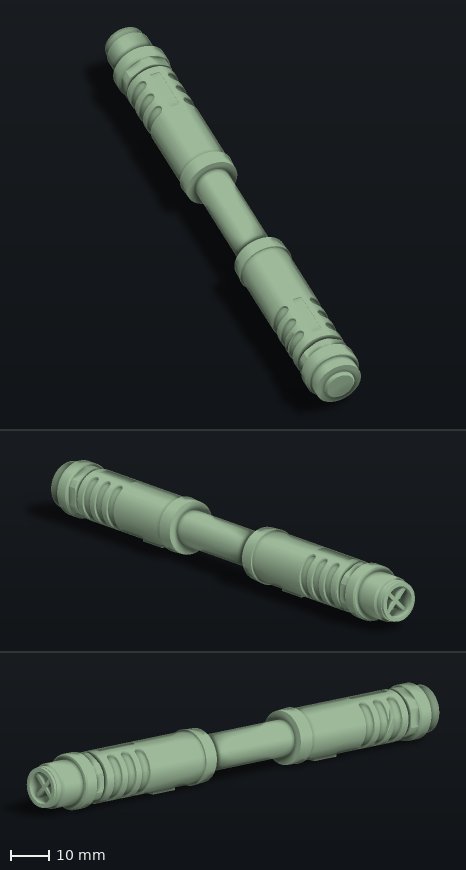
import cadquery as cq
import math

total_length = 137.0

cable_dia = 9.7
grip_dia = 14.0
grip_start = 17.4
grip_end = 56.0
grip_mirror_x = 71.0
grip_lead_in = 0.5
grip_lead_in_dia = 13.7
collar_length = 4.0
collar_dia = 15.0
collar_end_dia = 14.4

groove_floor_dia = 12.7
groove_width = 3.0
groove_pitch = 5.0
groove_count = 3
groove_first_x = 21.2
groove_inner_y = 3.2

pocket_start = groove_first_x - groove_width / 2
pocket_length = (groove_count - 1) * groove_pitch + groove_width
pocket_width = 2.7
pocket_depth = 0.3
pocket_corner = 0.7
pad_start = 38.4
pad_length = 7.8
pad_width = 3.5

knurl_dia = 15.0
knurl_chamfer = 0.4
hex_flats = 13.0
hex_round_dia = 14.0
hex_chamfer = 0.3
neck_dia = 9.3
neck_shoulder_dia = 9.7
neck_shoulder_length = 0.4

plug_nose_dia = 10.5
plug_nose_length = 0.8
plug_land_dia = 11.0
plug_land_end = 2.5
plug_thread_start = 3.0
plug_thread_dia = 12.0
plug_knurl_start = 9.6
plug_knurl_end = 13.5
plug_hex_end = 16.5
plug_bore_dia = 8.4
plug_bore_depth = 5.5

contact_count = 4
contact_circle_radius = 2.5
contact_dia = 1.5
contact_tip_x = 2.7
contact_base_dia = 2.3
contact_base_height = 0.7
rib_thickness = 1.0
rib_front_x = 1.2
rib_angle = 45

socket_hex_start = 125.6
socket_knurl_start = 128.4
socket_knurl_end = 132.5
socket_sleeve_end = 135.9
socket_sleeve_dia = 12.7
socket_insert_dia = 8.4
socket_insert_chamfer = 0.4


def rod(dia, start, end):
    """Solid round bar along X."""
    return cq.Workplane("YZ", origin=(start, 0, 0)).circle(dia / 2).extrude(end - start)


def cone(start_dia, end_dia, start, end):
    """Solid cone frustum along X."""
    profile = [(start, 0), (start, start_dia / 2), (end, end_dia / 2), (end, 0)]
    return cq.Workplane("XY").polyline(profile).close().revolve(360, (0, 0, 0), (1, 0, 0))


def block(length, width, bottom, top, start):
    """Box centred on the XZ plane, given by its start in X and its Z limits."""
    base = cq.Workplane("XY", origin=(start + length / 2, 0, bottom))
    return base.rect(length, width).extrude(top - bottom)


def finger_groove(x):
    """Pair of groove cutters, one on each side, with rounded ends towards the XZ plane."""
    start = x - groove_width
    end = x + groove_width
    ring = rod(collar_dia, start, end).cut(rod(groove_floor_dia, start, end))
    slot_length = grip_dia
    slot_center_y = groove_inner_y + slot_length / 2
    slots = (
        cq.Workplane("XY")
        .pushPoints([(x, slot_center_y), (x, -slot_center_y)])
        .slot2D(slot_length, groove_width, 90)
        .extrude(grip_dia, both=True)
    )
    return ring.intersect(slots)


def make_grip():
    """Left grip: tapered lead-in, barrel, collar, grooves, pocket and label pad."""
    barrel_start = grip_start + grip_lead_in
    collar_start = grip_end - collar_length
    grip = cone(grip_lead_in_dia, grip_dia, grip_start, barrel_start)
    grip = grip.union(rod(grip_dia, barrel_start, grip_end))
    grip = grip.union(cone(collar_dia, collar_end_dia, collar_start, grip_end))
    for i in range(groove_count):
        grip = grip.cut(finger_groove(groove_first_x + i * groove_pitch))
    pocket = block(pocket_length, pocket_width, grip_dia / 2 - pocket_depth, collar_dia / 2, pocket_start)
    grip = grip.cut(pocket.edges("|Z and >X").fillet(pocket_corner))
    return grip.union(block(pad_length, pad_width, -collar_dia / 2, 0, pad_start))


def hex_drive(start, end, chamfered_face):
    """Hexagon with rounded corners, flats facing +Y and -Y."""
    across_corners = hex_flats / math.cos(math.pi / 6)
    prism = (
        cq.Workplane("YZ", origin=(start, 0, 0))
        .transformed(rotate=(0, 0, 90))
        .polygon(6, across_corners)
        .extrude(end - start)
    )
    envelope = rod(hex_round_dia, start, end).faces(chamfered_face).chamfer(hex_chamfer)
    return prism.intersect(envelope)


def knurl_ring(start, end):
    """Chamfered gripping ring, kept smooth."""
    return rod(knurl_dia, start, end).edges().chamfer(knurl_chamfer)


def make_contacts():
    """Crossed ribs and four pins standing on the floor of the plug bore."""
    rib_height = plug_bore_depth - rib_front_x
    ribs = cq.Workplane("YZ", origin=(rib_front_x, 0, 0))
    ribs = ribs.rect(plug_bore_dia, rib_thickness).extrude(rib_height).union(
        ribs.rect(rib_thickness, plug_bore_dia).extrude(rib_height)
    )
    contacts = ribs.rotate((0, 0, 0), (1, 0, 0), rib_angle)
    shank_start = contact_tip_x + contact_dia / 2
    pin = rod(contact_dia, shank_start, plug_bore_depth)
    pin = pin.union(cq.Workplane("XY").sphere(contact_dia / 2).translate((shank_start, 0, 0)))
    pin = pin.union(rod(contact_base_dia, plug_bore_depth - contact_base_height, plug_bore_depth))
    for i in range(contact_count):
        placed = pin.translate((0, contact_circle_radius, 0))
        contacts = contacts.union(placed.rotate((0, 0, 0), (1, 0, 0), i * 360 / contact_count))
    return contacts


def make_plug():
    """Left coupling: nose, thread, knurled ring, hexagon, neck and the bore with its contacts."""
    plug = rod(plug_nose_dia, 0, plug_nose_length)
    plug = plug.union(rod(plug_land_dia, plug_nose_length, plug_land_end))
    plug = plug.union(cone(plug_land_dia, plug_thread_dia, plug_land_end, plug_thread_start))
    plug = plug.union(rod(plug_thread_dia, plug_thread_start, plug_knurl_start))
    plug = plug.union(knurl_ring(plug_knurl_start, plug_knurl_end))
    plug = plug.union(hex_drive(plug_knurl_end, plug_hex_end, ">X"))
    plug = plug.union(rod(neck_shoulder_dia, plug_hex_end, plug_hex_end + neck_shoulder_length))
    plug = plug.union(rod(neck_dia, plug_hex_end, grip_start))
    bore_core = rod(plug_bore_dia, 0, plug_bore_depth)
    return plug.cut(bore_core).union(make_contacts().intersect(bore_core))


def make_socket():
    """Right coupling: neck, hexagon, knurled ring, sleeve and the protruding insert."""
    grip_face = 2 * grip_mirror_x - grip_start
    socket = rod(neck_dia, grip_face, socket_hex_start)
    socket = socket.union(rod(neck_shoulder_dia, socket_hex_start - neck_shoulder_length, socket_hex_start))
    socket = socket.union(hex_drive(socket_hex_start, socket_knurl_start, "<X"))
    socket = socket.union(knurl_ring(socket_knurl_start, socket_knurl_end))
    socket = socket.union(rod(socket_sleeve_dia, socket_knurl_end, socket_sleeve_end))
    insert = rod(socket_insert_dia, socket_sleeve_end, total_length)
    return socket.union(insert.faces(">X").chamfer(socket_insert_chamfer))


left_grip = make_grip()
right_grip = left_grip.mirror("YZ", (grip_mirror_x, 0, 0))
cable = rod(cable_dia, grip_end, 2 * grip_mirror_x - grip_end)

result = cable.union(left_grip).union(right_grip).union(make_plug()).union(make_socket())